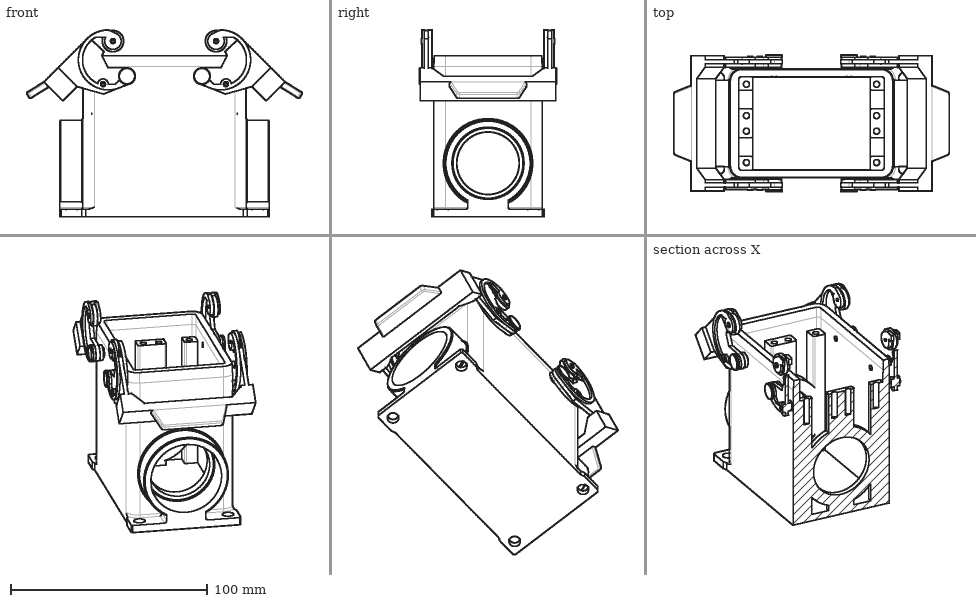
import cadquery as cq
import math

OVERALL_LENGTH = 140.5
OVERALL_WIDTH = 69.8

BODY_LENGTH = 83.2
BODY_WIDTH = 55.5
BODY_HEIGHT = 82.2
BODY_CORNER = 5.9
RIM_HEIGHT = 5.5
RIM_DRAFT = 3.0
CAVITY_LENGTH = 74.3
CAVITY_WIDTH = 47.8
CAVITY_CORNER = 1.7
CAVITY_DRAFT = 0.2
FLOOR = 4.0

POST_TOP = 69.8
POST_DEPTH = 7.3
POST_EDGE = 0.8
CORNER_POST_WIDTH = 7.0
CENTRE_POST_WIDTH = 14.8
SCREW_X = 33.2
SCREW_YS = (-20.0, -4.0, 4.0, 20.0)
SCREW_RADIUS = 1.5
SCREW_DEPTH = 14.0

PORT_FACE = 53.4
PORT_Z = 27.4
PORT_RADIUS = 22.0
PORT_BORE = 18.4
PORT_HOLE = 15.9
PORT_BORE_DEPTH = 17.3
PORT_BEVEL = 0.5
COLLAR_STEP = 0.7
WEB_WIDTH = 20.5
FOOT_WIDTH = 57.2
FOOT_HEIGHT = 4.0
FOOT_INNER_X = 42.1
FOOT_TAPER = 2.0
FOOT_CORNER = 0.8
FOOT_COVE = 1.1
FOOT_HOLE_X = 47.3
FOOT_HOLE_Y = 23.0
FOOT_HOLE_RADIUS = 2.88

HOOK_CENTRE = (-28.59, 80.1)
HOOK_RADIUS = 15.3
HOOK_BAND = 2.1
KNOB_CENTRE = (-26.3, 89.6)
KNOB_RADIUS = 4.2
PIVOT_CENTRE = (-19.1, 71.8)
PIVOT_RADIUS = 4.2
HOOK_EYE_RADIUS = 4.0
PIVOT_SHANK = 2.7
PIVOT_HEAD_BEVEL = 0.3
PIVOT_END_RADIUS = 1.3
PIVOT_END_DEPTH = 0.4
RIVET_CENTRE = (-31.3, 67.7)
RIVET_PAD = 2.7
RIVET_RADIUS = 1.3
RIVET_HOLE = 0.7
RIVET_PROUD = 0.4

LEVER_INNER = 28.5
PLATE_INNER = 30.3
PLATE_OUTER = 32.5
LEVER_OUTER = 33.7

BAIL_WIDTH = 69.1
BAIL_DISTANCE = 31.2
BAIL_HEIGHT = 13.8
BAIL_ARM_LENGTH = 10.3
BAIL_ARM_INNER = 28.7
BAIL_BAR_THICKNESS = 4.2
BAIL_BAR_END = 22.8
TAB_ANGLE = 32.0
TAB_THICKNESS = 3.7
TAB_ROOT_WIDTH = 39.3
TAB_TIP_WIDTH = 31.8
TAB_CORNER = 1.7
TAB_ROUND = 0.7
TAB_EMBED = 1.1

DIAGONAL = math.sqrt(0.5)
BAIL_CORNER = (
    HOOK_CENTRE[0] - (HOOK_RADIUS + BAIL_DISTANCE) * DIAGONAL,
    HOOK_CENTRE[1] + (HOOK_RADIUS - BAIL_DISTANCE) * DIAGONAL,
)


def on_circle(centre, radius, degrees):
    angle = math.radians(degrees)
    return (centre[0] + radius * math.cos(angle), centre[1] + radius * math.sin(angle))


def tangent_direction(big_centre, big_radius, small_centre, small_radius, side):
    """Direction in degrees from both centres to their common outer tangent."""
    dx = small_centre[0] - big_centre[0]
    dz = small_centre[1] - big_centre[1]
    spread = math.acos((big_radius - small_radius) / math.hypot(dx, dz))
    return math.degrees(math.atan2(dz, dx) + side * spread)


def bail_point(along, across):
    """Point measured from the handle corner along and across the 45 degree line."""
    return (
        BAIL_CORNER[0] + (along + across) * DIAGONAL,
        BAIL_CORNER[1] + (along - across) * DIAGONAL,
    )


def xz_plane(y):
    """Sketch plane in X and Z that extrudes toward -Y."""
    return cq.Workplane("XZ", origin=(0, y, 0))


def layer(outline, near, far):
    """Extrude an XZ outline from distance near to distance far on the -Y side."""
    return outline(xz_plane(-near)).extrude(far - near)


def disc(centre, radius, near, far):
    return xz_plane(-near).center(*centre).circle(radius).extrude(far - near)


def box_on(length, width, bottom, height):
    return cq.Workplane("XY").workplane(offset=bottom).rect(length, width).extrude(height)


def housing_shell():
    ledge = BODY_HEIGHT - RIM_HEIGHT
    lower = box_on(BODY_LENGTH, BODY_WIDTH, 0, ledge).edges("|Z").fillet(BODY_CORNER)
    rim = lower.faces(">Z").wires().toPending().workplane().extrude(
        RIM_HEIGHT, taper=RIM_DRAFT, combine=False
    )
    return lower.union(rim)


def cavity():
    """Straight mouth inside the rim, then walls that close in slightly toward the floor."""
    mouth = box_on(CAVITY_LENGTH, CAVITY_WIDTH, BODY_HEIGHT - RIM_HEIGHT, RIM_HEIGHT)
    mouth = mouth.edges("|Z").fillet(CAVITY_CORNER)
    lower = mouth.faces("<Z").wires().toPending().workplane().extrude(
        BODY_HEIGHT - RIM_HEIGHT - FLOOR, taper=CAVITY_DRAFT, combine=False
    )
    return mouth.union(lower)


def posts():
    """Three screw posts on the -X end wall, the middle one double width."""
    x = -(CAVITY_LENGTH - POST_DEPTH) / 2
    corner_y = (CAVITY_WIDTH - CORNER_POST_WIDTH) / 2
    built = cq.Workplane("XY")
    for y, width in ((-corner_y, CORNER_POST_WIDTH), (0, CENTRE_POST_WIDTH), (corner_y, CORNER_POST_WIDTH)):
        post = box_on(POST_DEPTH, width, FLOOR, POST_TOP - FLOOR)
        built = built.union(post.edges("|Z and >X").fillet(POST_EDGE).translate((x, y, 0)))
    return built


def screw_holes():
    locations = [(-SCREW_X, y) for y in SCREW_YS]
    plane = cq.Workplane("XY").workplane(offset=POST_TOP - SCREW_DEPTH)
    return plane.pushPoints(locations).circle(SCREW_RADIUS).extrude(SCREW_DEPTH)


def port_cylinder(x, radius, length):
    return cq.Workplane("YZ", origin=(x, 0, PORT_Z)).circle(radius).extrude(length)


def port():
    inner_end = CAVITY_LENGTH / 2 - POST_DEPTH
    tube = port_cylinder(-PORT_FACE, PORT_RADIUS, PORT_FACE - inner_end)
    tube = tube.faces("<X").edges().chamfer(PORT_BEVEL)
    wall = BODY_LENGTH / 2
    collar = port_cylinder(-wall - COLLAR_STEP, PORT_RADIUS + COLLAR_STEP, COLLAR_STEP)
    collar = collar.faces("<X").edges().chamfer(COLLAR_STEP * 0.9)
    web = box_on(PORT_FACE - wall, WEB_WIDTH, 0, PORT_Z).translate((-(PORT_FACE + wall) / 2, 0, 0))
    return tube.union(collar).union(web)


def port_opening():
    bore = port_cylinder(-PORT_FACE, PORT_BORE, PORT_BORE_DEPTH)
    bore = bore.faces(">X").edges().chamfer(PORT_BEVEL)
    return bore.union(port_cylinder(-PORT_FACE, PORT_HOLE, PORT_FACE))


def foot():
    half = FOOT_WIDTH / 2
    corner_start = BODY_LENGTH / 2 - BODY_CORNER
    taper_end = FOOT_INNER_X - FOOT_TAPER
    outline = [
        (-PORT_FACE, half), (-FOOT_INNER_X, half), (-taper_end, BODY_WIDTH / 2),
        (-corner_start, BODY_WIDTH / 2), (-corner_start, -BODY_WIDTH / 2),
        (-taper_end, -BODY_WIDTH / 2), (-FOOT_INNER_X, -half), (-PORT_FACE, -half),
    ]
    slab = cq.Workplane("XY").polyline(outline).close().extrude(FOOT_HEIGHT)
    return slab.edges("|Z and <X").chamfer(FOOT_CORNER)


def cove_outline(plane):
    """Concave quarter-round profile in the corner at the plane's origin."""
    middle = FOOT_COVE * (1 - DIAGONAL)
    return (
        plane.moveTo(0, 0)
        .lineTo(FOOT_COVE, 0)
        .threePointArc((middle, middle), (0, FOOT_COVE))
        .close()
    )


def foot_coves():
    """Coves on the +Y half of the foot: along the web, the end wall and the rounded body corner."""
    wall = BODY_LENGTH / 2
    web = WEB_WIDTH / 2
    arc_y = BODY_WIDTH / 2 - BODY_CORNER
    web_start = cq.Plane(origin=(-PORT_FACE, web, FOOT_HEIGHT), xDir=(0, 1, 0), normal=(1, 0, 0))
    along_web = cove_outline(cq.Workplane(web_start)).extrude(PORT_FACE - wall)
    wall_end = cq.Plane(origin=(-wall, arc_y, FOOT_HEIGHT), xDir=(-1, 0, 0), normal=(0, 1, 0))
    along_wall = cove_outline(cq.Workplane(wall_end)).extrude(web - arc_y)
    around_corner = cove_outline(cq.Workplane(wall_end)).revolve(
        90, (-BODY_CORNER, 0, 0), (-BODY_CORNER, -1, 0)
    )
    body_strip = box_on(OVERALL_LENGTH, BODY_WIDTH, 0, BODY_HEIGHT)
    return along_web.union(along_wall).union(around_corner.intersect(body_strip))


def foot_holes():
    locations = [(-FOOT_HOLE_X, FOOT_HOLE_Y), (-FOOT_HOLE_X, -FOOT_HOLE_Y)]
    return cq.Workplane("XY").pushPoints(locations).circle(FOOT_HOLE_RADIUS).extrude(FOOT_HEIGHT)


HOOK_CROWN = on_circle(HOOK_CENTRE, HOOK_RADIUS, 90)
KNOB_TANGENT = tangent_direction(HOOK_CROWN, 0, KNOB_CENTRE, KNOB_RADIUS, 1)
PIVOT_TANGENT = tangent_direction(HOOK_CENTRE, HOOK_RADIUS, PIVOT_CENTRE, HOOK_EYE_RADIUS, -1)


def hook_outline(plane):
    inner = HOOK_RADIUS - HOOK_BAND
    floor_z = RIVET_CENTRE[1]
    floor_reach = math.sqrt(inner**2 - (HOOK_CENTRE[1] - floor_z) ** 2)
    throat = on_circle(HOOK_CENTRE, inner, 120)
    pivot_neck = on_circle(PIVOT_CENTRE, HOOK_EYE_RADIUS, 205)
    floor_end = (pivot_neck[0] - (pivot_neck[1] - floor_z), floor_z)
    return (
        plane.moveTo(*HOOK_CROWN)
        .threePointArc(
            on_circle(HOOK_CENTRE, HOOK_RADIUS, 180),
            on_circle(HOOK_CENTRE, HOOK_RADIUS, PIVOT_TANGENT),
        )
        .lineTo(*on_circle(PIVOT_CENTRE, HOOK_EYE_RADIUS, PIVOT_TANGENT))
        .lineTo(*PIVOT_CENTRE)
        .lineTo(*pivot_neck)
        .lineTo(*floor_end)
        .lineTo(HOOK_CENTRE[0] - floor_reach, floor_z)
        .threePointArc(on_circle(HOOK_CENTRE, inner, 180), throat)
        .lineTo(KNOB_CENTRE[0], throat[1])
        .lineTo(*KNOB_CENTRE)
        .lineTo(*on_circle(KNOB_CENTRE, KNOB_RADIUS, KNOB_TANGENT))
        .close()
    )


def hook(near, far):
    band = layer(hook_outline, near, far)
    eyes = ((KNOB_CENTRE, KNOB_RADIUS), (PIVOT_CENTRE, HOOK_EYE_RADIUS), (RIVET_CENTRE, RIVET_PAD))
    for centre, radius in eyes:
        band = band.union(disc(centre, radius, near, far))
    return band


PLATE_THROAT = (-37.5, 90.6)
PLATE_NOSE = (-30.8, 84.3)
PLATE_NOTCH = (-31.9, 82.2)
PLATE_STEP = (-28.8, 76.1)
PLATE_HEEL = (-31.0, 62.7)


def plate_outline(plane):
    return (
        plane.moveTo(*bail_point(0, 0))
        .lineTo(*on_circle(HOOK_CENTRE, HOOK_RADIUS, 135))
        .lineTo(*PLATE_THROAT)
        .lineTo(*PLATE_NOSE)
        .lineTo(*PLATE_NOTCH)
        .lineTo(*PLATE_STEP)
        .lineTo(PIVOT_CENTRE[0], PIVOT_CENTRE[1] + PIVOT_RADIUS)
        .lineTo(*PIVOT_CENTRE)
        .lineTo(*on_circle(PIVOT_CENTRE, PIVOT_RADIUS, PIVOT_TANGENT))
        .lineTo(*on_circle(HOOK_CENTRE, HOOK_RADIUS, PIVOT_TANGENT))
        .lineTo(*PLATE_HEEL)
        .lineTo(*bail_point(BAIL_ARM_LENGTH, BAIL_HEIGHT))
        .lineTo(*bail_point(0, BAIL_HEIGHT))
        .close()
    )


def lever():
    plate = layer(plate_outline, PLATE_INNER, PLATE_OUTER)
    plate = plate.union(disc(PIVOT_CENTRE, PIVOT_RADIUS, PLATE_INNER, PLATE_OUTER))
    roller_radius = HOOK_RADIUS - math.dist(HOOK_CENTRE, KNOB_CENTRE)
    roller = disc(KNOB_CENTRE, roller_radius, PLATE_INNER, PLATE_OUTER)
    built = plate.union(roller).union(hook(LEVER_INNER, PLATE_INNER)).union(hook(PLATE_OUTER, LEVER_OUTER))

    head = disc(PIVOT_CENTRE, PIVOT_RADIUS, LEVER_OUTER, OVERALL_WIDTH / 2)
    built = built.union(head.faces("<Y").edges().chamfer(PIVOT_HEAD_BEVEL))
    built = built.union(disc(PIVOT_CENTRE, PIVOT_SHANK, CAVITY_WIDTH / 2 + 1.4, LEVER_INNER))
    proud = LEVER_OUTER + RIVET_PROUD
    for centre in (KNOB_CENTRE, RIVET_CENTRE):
        built = built.union(disc(centre, RIVET_RADIUS, LEVER_OUTER, proud))
        built = built.cut(disc(centre, RIVET_HOLE, LEVER_OUTER - RIVET_PROUD, proud))
        built = built.cut(disc(centre, RIVET_HOLE, LEVER_INNER, LEVER_INNER + RIVET_PROUD))
    return built


def bail():
    half = BAIL_WIDTH / 2
    half_outline = [
        (0, half), (BAIL_ARM_LENGTH, half), (BAIL_ARM_LENGTH, BAIL_ARM_INNER), (BAIL_BAR_THICKNESS, BAIL_BAR_END),
    ]
    other_half = [(along, -y) for along, y in reversed(half_outline)]
    plane = cq.Plane(origin=(BAIL_CORNER[0], 0, BAIL_CORNER[1]), xDir=(1, 0, 1), normal=(1, 0, -1))
    return cq.Workplane(plane).polyline(half_outline + other_half).close().extrude(BAIL_HEIGHT)


def tab():
    """Finger tab reaching out to the full length of the part."""
    slope = math.radians(TAB_ANGLE)
    half = TAB_THICKNESS / 2
    root = bail_point(0, half)
    core_reach = OVERALL_LENGTH / 2 + root[0] - TAB_ROUND - (half - TAB_ROUND) * math.sin(slope)
    length = core_reach / math.cos(slope) + TAB_ROUND
    outline = [
        (-TAB_EMBED, TAB_ROOT_WIDTH / 2), (0, TAB_ROOT_WIDTH / 2), (length, TAB_TIP_WIDTH / 2),
        (length, -TAB_TIP_WIDTH / 2), (0, -TAB_ROOT_WIDTH / 2), (-TAB_EMBED, -TAB_ROOT_WIDTH / 2),
    ]
    plane = cq.Plane(
        origin=(root[0], 0, root[1]),
        xDir=(-math.cos(slope), 0, -math.sin(slope)),
        normal=(-math.sin(slope), 0, math.cos(slope)),
    )
    blade = cq.Workplane(plane).polyline(outline).close().extrude(half, both=True)
    tip = cq.Vector(*plane.xDir.toTuple())
    blade = blade.faces(cq.selectors.DirectionMinMaxSelector(tip)).edges(
        cq.selectors.ParallelDirSelector(plane.zDir)
    ).fillet(TAB_CORNER)
    return blade.faces(cq.selectors.DirectionMinMaxSelector(tip)).edges("|Y").fillet(TAB_ROUND)


def both_ends(end):
    return end.union(end.mirror("YZ"))


def both_sides(side):
    return side.union(side.mirror("XZ"))


result = housing_shell().cut(cavity())
result = result.union(both_ends(port().union(foot()).union(both_sides(foot_coves())).union(posts())))
result = result.cut(both_ends(port_opening().union(foot_holes()).union(screw_holes())))

handle = bail().union(tab()).union(both_sides(lever()))
result = result.union(both_ends(handle))

pivot_end = disc(PIVOT_CENTRE, PIVOT_END_RADIUS, CAVITY_WIDTH / 2, CAVITY_WIDTH / 2 + PIVOT_END_DEPTH)
result = result.cut(both_ends(both_sides(pivot_end)))